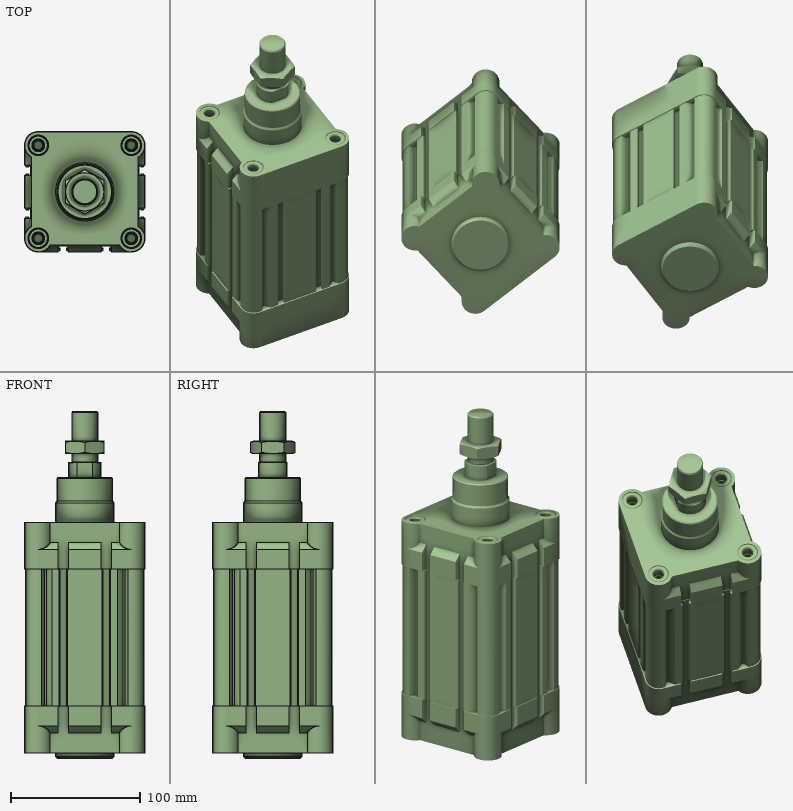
import cadquery as cq
import math

total_height = 268.0
cap_bottom = 4.0
cap_height = 36.2
tube_length = 105.9
collar_base_height = 15.0
collar_height = 34.5
shank_height = 11.5
nut_bottom = 235.3
nut_height = 9.6

tube_bottom = cap_bottom + cap_height
tube_top = tube_bottom + tube_length
cap_top = tube_top + cap_height
collar_top = cap_top + collar_height
shank_top = collar_top + shank_height

side = 93.0
half_side = side / 2
screw_offset = 36.0
boss_radius = half_side - screw_offset
cap_face = 41.3
pad_height = 15.3
pad_slope = half_side - cap_face
cap_slot_width = 8.0
slot_offset = 16.5

tube_inset = 0.8
tube_half = half_side - tube_inset
slot_floor = 41.8
slot_inner_width = 7.0
slot_mouth_width = 5.4
slot_mouth_chamfer = 0.5
slot_lip_depth = 2.1
groove_inner_edge = 25.5
groove_floor_start = 29.5
groove_floor_end = 31.0
groove_outer_edge = 33.5
groove_depth = 4.0

collar_diameter = 45.0
collar_step_diameter = 43.0
collar_chamfer = 0.8
collar_cone_height = 1.5
stub_chamfer = 1.3

screw_head_diameter = 15.8
screw_head_chamfer = 0.8
screw_thread_diameter = 10.0
screw_bore_diameter = 8.3
screw_bore_depth = 8.0
screw_pilot_diameter = 7.0
screw_pilot_depth = 4.0

shank_diameter = 25.0
shank_flats = 22.0
thread_diameter = 20.0
thread_tip_diameter = 18.5
thread_tip_chamfer_height = 1.0
thread_root_chamfer_height = 0.5
nut_flats = 30.0
nut_chamfer_diameter = 29.5
nut_chamfer_angle = 20.0

screw_points = [(sx * screw_offset, sy * screw_offset) for sx in (-1, 1) for sy in (-1, 1)]


def hex_corner_diameter(flats):
    return flats / math.cos(math.pi / 6)


def cylinder(diameter, bottom, top):
    return cq.Workplane("XY").workplane(offset=bottom).circle(diameter / 2).extrude(top - bottom)


def hexagon(flats, bottom, top):
    """Hexagonal prism with two flats facing -X and +X."""
    plane = cq.Workplane("XY").workplane(offset=bottom).transformed(rotate=(0, 0, 90))
    return plane.polygon(6, hex_corner_diameter(flats)).extrude(top - bottom)


def rounded_square(half, bottom, top):
    """Square prism whose corners are rounded about the screw axes."""
    block = cq.Workplane("XY").workplane(offset=bottom).rect(2 * half, 2 * half).extrude(top - bottom)
    return block.edges("|Z").fillet(half - screw_offset)


def side_pad(start, end):
    """Raised pad on the -Y side from x = start to x = end, with a 45 degree run-out."""
    pad_top = tube_top + pad_height
    profile = [
        (0, tube_top),
        (-half_side, tube_top),
        (-half_side, pad_top),
        (-cap_face, pad_top + pad_slope),
        (0, pad_top + pad_slope),
    ]
    return cq.Workplane("YZ").workplane(offset=start).polyline(profile).close().extrude(end - start)


def revolved(outline):
    """Body of revolution about Z from (radius, z) points."""
    return cq.Workplane("XZ").polyline(outline).close().revolve(360, (0, 0, 0), (0, 1, 0))


def screw_rim():
    """Cutter for the groove around one flush screw head: vertical wall outside, chamfer inside."""
    radius = screw_head_diameter / 2
    return revolved([
        (radius, cap_top - screw_head_chamfer),
        (radius, cap_top),
        (radius - screw_head_chamfer, cap_top),
    ])


def screw_bore():
    """Cutter for the countersunk, stepped blind bore of one screw."""
    bore = screw_bore_diameter / 2
    mouth = screw_thread_diameter / 2
    pilot = screw_pilot_diameter / 2
    step = cap_top - screw_bore_depth
    return revolved([
        (0, cap_top),
        (mouth, cap_top),
        (bore, cap_top - (mouth - bore)),
        (bore, step),
        (pilot, step),
        (pilot, step - screw_pilot_depth),
        (0, step - screw_pilot_depth),
    ])


def plain_cap():
    """Upper cap without screws: pads on three sides, the +Y side flat."""
    base = cq.Workplane("XY").workplane(offset=tube_top)
    cap = base.rect(2 * cap_face, 2 * cap_face).extrude(cap_height)
    cap = cap.union(base.center(0, half_side / 2).rect(2 * screw_offset, half_side).extrude(cap_height))
    gap_start = slot_offset - cap_slot_width / 2
    gap_end = slot_offset + cap_slot_width / 2
    spans = [(-screw_offset, -gap_end), (-gap_start, gap_start), (gap_end, screw_offset)]
    for angle in (-90, 0, 90):
        for start, end in spans:
            cap = cap.union(side_pad(start, end).rotate((0, 0, 0), (0, 0, 1), angle))
    return cap.union(base.pushPoints(screw_points).circle(boss_radius).extrude(cap_height))


def slot_profile(x):
    """Lipped slot of the -Y side: chamfered mouth, narrow neck, wider inside."""
    mouth = slot_mouth_width / 2
    inner = slot_inner_width / 2
    shoulder = -tube_half + slot_lip_depth
    right = [
        (mouth + slot_mouth_chamfer, -tube_half),
        (mouth, -tube_half + slot_mouth_chamfer),
        (mouth, shoulder),
        (inner, shoulder),
        (inner, -slot_floor),
    ]
    left = [(-px, py) for px, py in reversed(right)]
    return [(x + px, py) for px, py in right + left]


def groove_profile(direction):
    """V-shaped groove with a narrow floor on the -Y side, left (-1) or right (+1) of the middle."""
    floor = -tube_half + groove_depth
    return [
        (direction * groove_inner_edge, -tube_half),
        (direction * groove_floor_start, floor),
        (direction * groove_floor_end, floor),
        (direction * groove_outer_edge, -tube_half),
    ]


def make_tube():
    tube = rounded_square(tube_half, tube_bottom, tube_top)
    for direction in (-1, 1):
        for profile in (slot_profile(direction * slot_offset), groove_profile(direction)):
            cutter = (
                cq.Workplane("XY").workplane(offset=tube_bottom).polyline(profile).close().extrude(tube_length)
            )
            for angle in (0, 90, 180, 270):
                tube = tube.cut(cutter.rotate((0, 0, 0), (0, 0, 1), angle))
    return tube


def make_collar():
    base = collar_diameter / 2
    upper = collar_step_diameter / 2
    base_top = cap_top + collar_base_height
    return revolved([
        (0, cap_top),
        (base, cap_top),
        (base, base_top),
        (upper, base_top + collar_cone_height),
        (upper, collar_top - collar_chamfer),
        (upper - collar_chamfer, collar_top),
        (0, collar_top),
    ])


def make_housing():
    upper_cap = plain_cap()
    lower_cap = upper_cap.mirror("XY").translate((0, 0, tube_bottom + tube_top))
    stub = cylinder(collar_diameter, 0, cap_bottom).faces("<Z").chamfer(stub_chamfer)
    housing = make_tube().union(upper_cap).union(lower_cap).union(stub).union(make_collar())
    for cutter in (screw_rim(), screw_bore()):
        for x, y in screw_points:
            housing = housing.cut(cutter.translate((x, y, 0)))
    return housing.cut(cylinder(shank_diameter, cap_top, collar_top))


def make_rod():
    shank = cylinder(shank_diameter, cap_top, shank_top)
    flat_band = cq.Workplane("XY").workplane(offset=collar_top).rect(shank_diameter, shank_flats)
    below = cylinder(shank_diameter, cap_top, collar_top)
    shank = shank.intersect(flat_band.extrude(shank_height)).union(below)
    major = thread_diameter / 2
    tip = thread_tip_diameter / 2
    thread = revolved([
        (0, shank_top),
        (tip, shank_top),
        (major, shank_top + thread_root_chamfer_height),
        (major, total_height - thread_tip_chamfer_height),
        (tip, total_height),
        (0, total_height),
    ])
    return shank.union(thread)


def make_nut():
    nut_top = nut_bottom + nut_height
    blank = hexagon(nut_flats, nut_bottom, nut_top)
    corner = hex_corner_diameter(nut_flats) / 2
    face = nut_chamfer_diameter / 2
    drop = (corner - face) * math.tan(math.radians(nut_chamfer_angle))
    envelope = revolved([
        (0, nut_bottom),
        (face, nut_bottom),
        (corner, nut_bottom + drop),
        (corner, nut_top - drop),
        (face, nut_top),
        (0, nut_top),
    ])
    return blank.intersect(envelope).cut(cylinder(thread_diameter, nut_bottom, nut_top))


housing = make_housing()
rod = make_rod()
nut = make_nut()

result = cq.Compound.makeCompound([housing.val(), rod.val(), nut.val()])